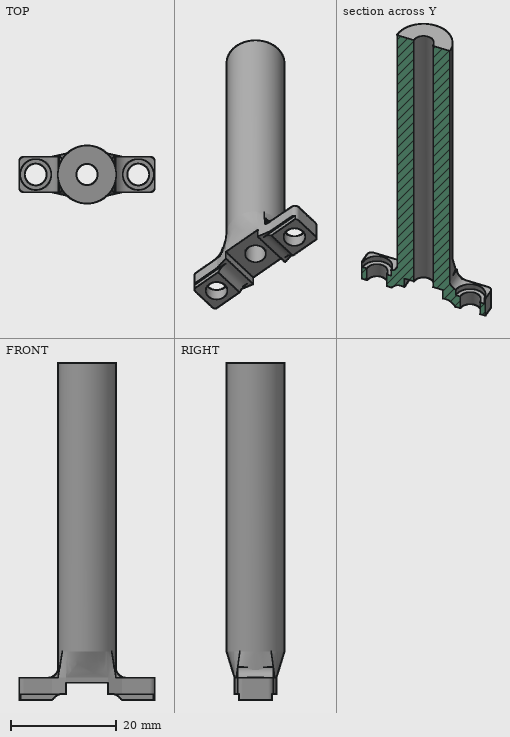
import cadquery as cq
import math

height = 64.2
base_length = 25.9
tube_diameter = 11.1
bore_diameter = 4.0

foot_height = 1.15
bridge_bottom = 3.3
base_top = 4.3
collar_top = 9.3

ear_width = 6.8
middle_width = 8.0
flare_start = 6.7
gap_half_width = 4.0
corner_radius = 0.95
foot_width = 6.3
foot_blend = 0.7

hole_offset = 9.75
hole_diameter = 4.1
counterbore_diameter = 5.9
counterbore_depth = 1.2

collar_half_length = 5.5
collar_shoulder_x = 3.8
collar_side_x = 4.7
web_radius = 2.0
web_wall_x = 5.45
web_embed = 0.5


def base_outline():
    """Plan of the whole base, mirrored about both horizontal axes."""
    end = base_length / 2
    ear = ear_width / 2
    middle = middle_width / 2
    return (
        cq.Workplane("XY")
        .moveTo(end, -ear)
        .lineTo(end, ear)
        .lineTo(flare_start, ear)
        .lineTo(gap_half_width, middle)
        .lineTo(-gap_half_width, middle)
        .lineTo(-flare_start, ear)
        .lineTo(-end, ear)
        .lineTo(-end, -ear)
        .lineTo(-flare_start, -ear)
        .lineTo(-gap_half_width, -middle)
        .lineTo(gap_half_width, -middle)
        .lineTo(flare_start, -ear)
        .close()
    )


def make_base():
    """Ears and bridge, with feet under the ears ending in 45 degree bevels blended upward."""
    end = base_length / 2
    bevel_end = flare_start - foot_height
    blend_leg = foot_blend * math.sqrt(0.5)
    prism = base_outline().extrude(base_top)
    prism = prism.edges("|Z and (<X or >X)").fillet(corner_radius)
    upper = prism.intersect(
        cq.Workplane("XY").box(base_length, tube_diameter, base_top, centered=(True, True, False))
        .translate((0, 0, foot_height))
    )
    gap = cq.Workplane("XY").box(
        2 * gap_half_width, tube_diameter, bridge_bottom, centered=(True, True, False)
    )
    base = upper.cut(gap)
    for side in (-1, 1):
        foot = (
            cq.Workplane("XZ")
            .moveTo(side * end, 0)
            .lineTo(side * flare_start, 0)
            .lineTo(side * (bevel_end + blend_leg), foot_height - blend_leg)
            .tangentArcPoint((side * (bevel_end - foot_blend), foot_height), relative=False)
            .lineTo(side * end, foot_height)
            .close()
            .extrude(foot_width / 2, both=True)
        )
        base = base.union(foot.intersect(prism))
    return base


def mirrored_ring(first, second):
    """Eight counter-clockwise points from the two in the first quadrant."""
    quarter = [second, first]
    half = quarter + [(-x, y) for x, y in reversed(quarter)]
    return half + [(-x, -y) for x, y in half]


def flare_half_width(x):
    """Half width of the base at distance x along its flare."""
    slope = (middle_width - ear_width) / 2 / (flare_start - gap_half_width)
    return middle_width / 2 - slope * (x - gap_half_width)


def make_collar():
    """Faceted transition from the base's eight-sided plan to the round tube."""
    radius = tube_diameter / 2
    lower = mirrored_ring(
        (gap_half_width, middle_width / 2),
        (collar_half_length, flare_half_width(collar_half_length)),
    )
    upper = mirrored_ring(
        (collar_shoulder_x, math.sqrt(radius**2 - collar_shoulder_x**2)),
        (collar_side_x, math.sqrt(radius**2 - collar_side_x**2)),
    )
    lower_wire = cq.Wire.makePolygon([cq.Vector(x, y, base_top) for x, y in lower], close=True)
    arcs = []
    for start, finish in zip(upper, upper[1:] + upper[:1]):
        middle_angle = math.atan2(start[1] + finish[1], start[0] + finish[0])
        middle = (radius * math.cos(middle_angle), radius * math.sin(middle_angle))
        arcs.append(
            cq.Edge.makeThreePointArc(*(cq.Vector(x, y, collar_top) for x, y in (start, middle, finish)))
        )
    upper_wire = cq.Wire.assembleEdges(arcs)
    return cq.Workplane(cq.Solid.makeLoft([lower_wire, upper_wire], True))


def make_web(side):
    """Concave fillet running from the ear's top face up the collar."""
    toe = web_wall_x + web_radius
    web_top = base_top + web_radius
    bend = web_radius * math.sqrt(0.5)
    web = (
        cq.Workplane("XZ")
        .moveTo(side * toe, base_top)
        .threePointArc((side * (toe - bend), web_top - bend), (side * web_wall_x, web_top))
        .lineTo(side * collar_shoulder_x, web_top + web_embed)
        .lineTo(side * collar_shoulder_x, base_top - web_embed)
        .lineTo(side * toe, base_top - web_embed)
        .close()
        .extrude(ear_width / 2, both=True)
    )
    return web


tube = cq.Workplane("XY").workplane(offset=collar_top).circle(tube_diameter / 2).extrude(height - collar_top)
result = make_base().union(make_collar()).union(tube)

for side in (-1, 1):
    result = result.union(make_web(side))

result = result.cut(cq.Workplane("XY").circle(bore_diameter / 2).extrude(height))

for side in (-1, 1):
    center = cq.Workplane("XY").center(side * hole_offset, 0)
    result = result.cut(center.circle(hole_diameter / 2).extrude(base_top))
    recess = center.workplane(offset=base_top - counterbore_depth)
    result = result.cut(recess.circle(counterbore_diameter / 2).extrude(web_radius + counterbore_depth))